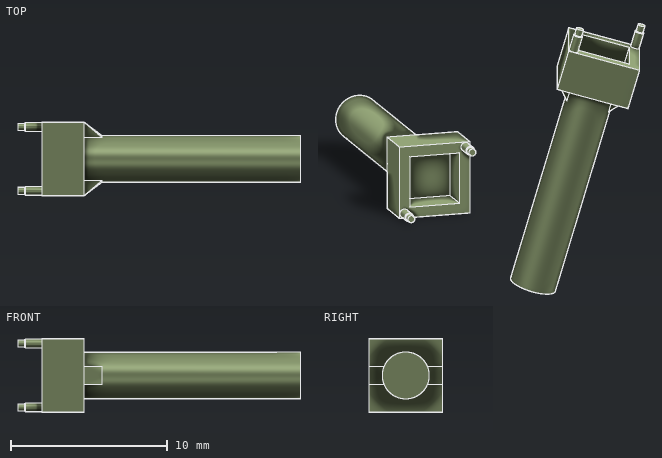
import cadquery as cq
import math

total_length = 18.03
pin_length = 1.53
head_size = 4.7
head_length = 2.69
front_x = -total_length / 2
head_front_x = front_x + pin_length
head_back_x = head_front_x + head_length

pocket_size = 3.32
pocket_depth = 2.1

shaft_radius = 1.5
shaft_length = total_length - pin_length - head_length

gusset_width = 1.15
gusset_length = 1.14

pin_radius = 0.29
tip_radius = 0.23
tip_length = 0.43
pin_chamfer = 0.045
pin_offset = 2.04


def at_x(x):
    """Workplane facing +X, with local x along Y and local y along Z."""
    return cq.Workplane("YZ", origin=(x, 0, 0))


def make_gusset(side):
    """Ruled wedge from a straight edge on the head to an arc on the shaft; side is +1 or -1 in Y."""
    half_width = gusset_width / 2
    shaft_edge_y = math.sqrt(shaft_radius**2 - half_width**2)
    head_profile = (
        at_x(head_back_x)
        .moveTo(0, -half_width)
        .lineTo(side * head_size / 2, -half_width)
        .lineTo(side * head_size / 2, half_width)
        .lineTo(0, half_width)
        .close()
    )
    shaft_profile = (
        at_x(head_back_x + gusset_length)
        .moveTo(0, -half_width)
        .lineTo(side * shaft_edge_y, -half_width)
        .threePointArc((side * shaft_radius, 0), (side * shaft_edge_y, half_width))
        .lineTo(0, half_width)
        .close()
    )
    wires = [head_profile.val(), shaft_profile.val()]
    return cq.Workplane(cq.Solid.makeLoft(wires, True))


def make_housing():
    """Square head with its pocket, shaft and gussets."""
    head = at_x(head_front_x).rect(head_size, head_size).extrude(head_length)
    pocket = at_x(head_front_x).rect(pocket_size, pocket_size).extrude(pocket_depth)
    shaft = at_x(head_back_x).circle(shaft_radius).extrude(shaft_length)
    housing = head.cut(pocket).union(shaft)
    for side in (-1, 1):
        housing = housing.union(make_gusset(side))
    return housing


def make_pin(y, z):
    """Pin standing on the front of the head, with a chamfered shoulder and a thinner tip."""
    shank = (
        at_x(front_x + tip_length)
        .center(y, z)
        .circle(pin_radius)
        .extrude(pin_length - tip_length)
        .faces("<X")
        .chamfer(pin_chamfer)
    )
    tip = at_x(front_x).center(y, z).circle(tip_radius).extrude(tip_length)
    return shank.union(tip)


housing = make_housing()
pins = [make_pin(side * pin_offset, -side * pin_offset) for side in (-1, 1)]

result = cq.Compound.makeCompound([housing.val(), *[pin.val() for pin in pins]])